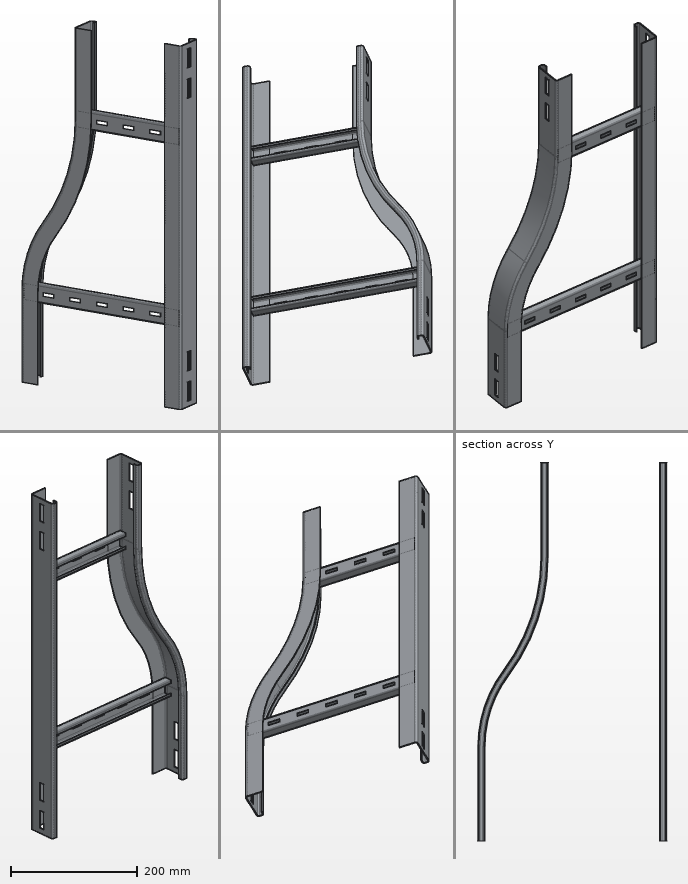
import cadquery as cq
import math

length = 600.0
width = 300.0
rail_depth = 50.0

thickness = 2.0
inner_bend = 2.0
outer_bend = inner_bend + thickness

flange_width = 31.0
hook_width = 12.0
hook_depth = 9.0

slot_pitch = width / 6
rail_slot_length = 31.0
rail_slot_width = 9.0
rung_slot_length = 20.0
rung_slot_height = 6.0

rail_offset = 2 * slot_pitch
straight_length = length / 4
lower_bend_radius = 200.0

rung_height = 30.0
rung_depth = 15.0
rung_thickness = 1.5
rung_lip = 6.0
rung_inner_bend = 0.3
rung_outer_bend = rung_inner_bend + rung_thickness
rung_end_gap = 5.0


def point_towards(start, end, distance):
    """Point at a distance from start on the line to end."""
    span = math.dist(start, end)
    return tuple(a + (b - a) * distance / span for a, b in zip(start, end))


def rounded_outline(workplane, corners):
    """Closed outline through right-angled (u, v, radius) corners; radius 0 leaves a corner sharp."""
    outline = None
    for i, (u, v, radius) in enumerate(corners):
        corner = (u, v)
        before = corners[i - 1][:2]
        after = corners[(i + 1) % len(corners)][:2]
        entry = point_towards(corner, before, radius)
        outline = outline.lineTo(*entry) if outline else workplane.moveTo(*entry)
        if radius > 0:
            leave = point_towards(corner, after, radius)
            centre = (entry[0] + leave[0] - u, entry[1] + leave[1] - v)
            outline = outline.threePointArc(point_towards(centre, corner, radius), leave)
    return outline.close()


def rail_section(web_x, inward):
    """Rail outline in XY; inward is +1 or -1, the X direction from the web into the ladder."""
    back = rail_depth
    corners = [
        (flange_width, 0, 0),
        (flange_width, thickness, 0),
        (thickness, thickness, inner_bend),
        (thickness, back - thickness, inner_bend),
        (hook_width - thickness, back - thickness, inner_bend),
        (hook_width - thickness, back - hook_depth, 0),
        (hook_width, back - hook_depth, 0),
        (hook_width, back, outer_bend),
        (0, back, outer_bend),
        (0, 0, outer_bend),
    ]
    placed = [(web_x + inward * x, y, radius) for x, y, radius in corners]
    return rounded_outline(cq.Workplane("XY"), placed)


def s_bend_path():
    """Line along the outer face of the left web: straight, two opposite tangent arcs, straight."""
    rise = length - 2 * straight_length
    angle = 2 * math.atan(rail_offset / rise)
    upper_bend_radius = rise / math.sin(angle) - lower_bend_radius
    upper_start = length - straight_length

    def lower_arc(turn):
        x = lower_bend_radius * (1 - math.cos(turn))
        return (x, straight_length + lower_bend_radius * math.sin(turn))

    def upper_arc(turn):
        x = rail_offset - upper_bend_radius * (1 - math.cos(turn))
        return (x, upper_start - upper_bend_radius * math.sin(turn))

    return (
        cq.Workplane("XZ")
        .lineTo(0, straight_length)
        .threePointArc(lower_arc(angle / 2), lower_arc(angle))
        .threePointArc(upper_arc(angle / 2), (rail_offset, upper_start))
        .lineTo(rail_offset, length)
    )


def cut_rail_slots(rail, lower_web_x, upper_web_x):
    """Cut two upright slots through the web near each end of a rail."""
    for from_end in (slot_pitch / 2, 3 * slot_pitch / 2):
        for web_x, z in ((lower_web_x, from_end), (upper_web_x, length - from_end)):
            slot = cq.Workplane("XY").box(4 * thickness, rail_slot_width, rail_slot_length)
            rail = rail.cut(slot.translate((web_x, rail_depth / 2, z)))
    return rail


def make_left_rail():
    rail = rail_section(0, 1).sweep(s_bend_path())
    return cut_rail_slots(rail, 0, rail_offset)


def make_right_rail():
    rail = rail_section(width, -1).extrude(length)
    return cut_rail_slots(rail, width, width)


def make_rung(left_web_x, z):
    """Rung centred at height z, from the left web to the right rail, slotted at every pitch."""
    front = thickness
    back = front + rung_depth
    half = rung_height / 2
    inner_half = half - rung_thickness
    upper_half = [
        (front, half, rung_outer_bend),
        (back, half, rung_outer_bend),
        (back, half - rung_lip, 0),
        (back - rung_thickness, half - rung_lip, 0),
        (back - rung_thickness, inner_half, rung_inner_bend),
        (front + rung_thickness, inner_half, rung_inner_bend),
    ]
    lower_half = [(y, -v, radius) for y, v, radius in reversed(upper_half)]
    start_x = left_web_x + rung_end_gap
    end_x = width - rung_end_gap
    section_plane = cq.Workplane("YZ", origin=(start_x, 0, z))
    rung = rounded_outline(section_plane, upper_half + lower_half).extrude(end_x - start_x)

    slot_x = left_web_x + slot_pitch
    while slot_x < end_x:
        slot = cq.Workplane("XY").box(rung_slot_length, 4 * rung_thickness, rung_slot_height)
        rung = rung.cut(slot.translate((slot_x, front, z)))
        slot_x += slot_pitch
    return rung


left_rail = make_left_rail()
right_rail = make_right_rail()
rungs = [
    make_rung(left_web_x, z)
    for left_web_x, z in ((0, straight_length), (rail_offset, length - straight_length))
]

result = cq.Compound.makeCompound([left_rail.val(), right_rail.val(), *[rung.val() for rung in rungs]])